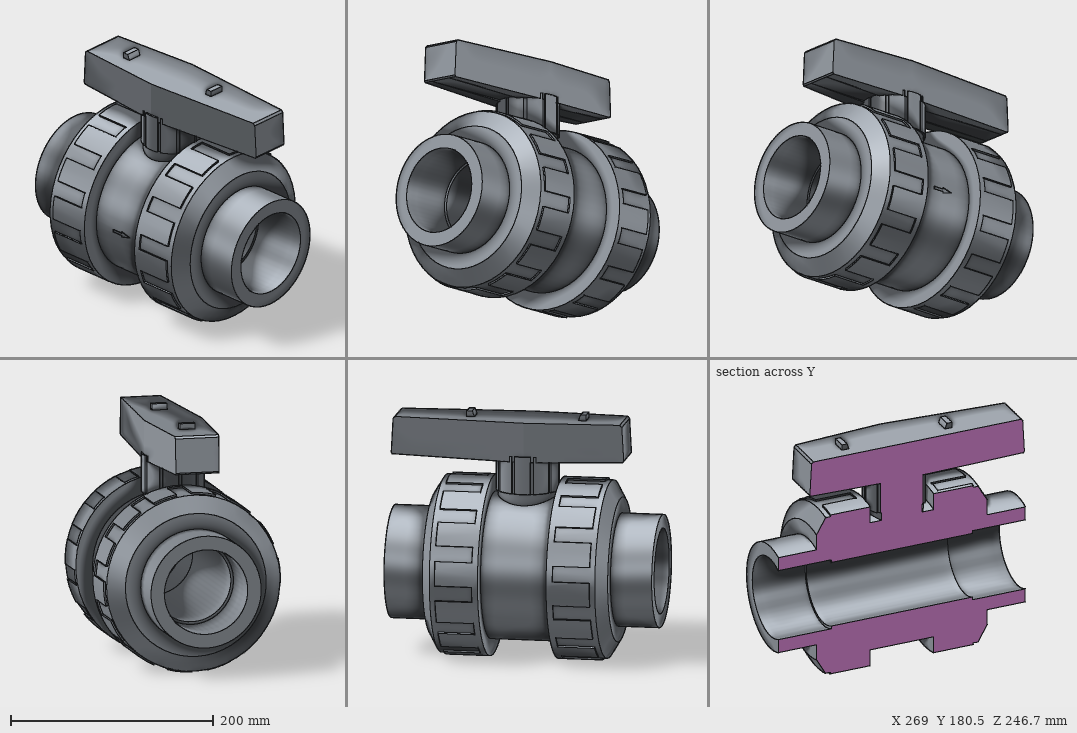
import cadquery as cq
import math


length = 269.0
overall_height = 246.7
pipe_radius = 56.2
socket_radius = 42.5
bore_radius = 39.8
socket_depth = 57.5

body_radius = 73.2
arrow_tail_x = -11.3
arrow_head_x = 0.3
arrow_tip_x = 11.3
arrow_shaft_half_height = 1.3
arrow_head_half_height = 3.0
arrow_depth = 0.5

nut_diameter = 180.5
nut_radius = nut_diameter / 2
nut_floor_radius = 88.5
nut_face_radius = 71.8
nut_inner_x = 34.5
tooth_inner_x = 40.5
tooth_outer_x = 77.7
shoulder_x = 83.0
nut_outer_x = 93.0
tooth_count = 14
tooth_angle = 15.7
tooth_pitch = 360 / tooth_count
first_tooth_angle = 5.1

neck_radius = 29.3
collar_diameter = 62.7
collar_radius = collar_diameter / 2
collar_bottom_z = 78.5
collar_top_z = 116.5
slot_count = 10
slot_width = 3.2

ridge_x = -1.3
ridge_half_width = 29.3
ridge_bottom_z = 110.5
handle_left_x = -100.3
handle_right_x = 133.7
left_half_width = 22.0
right_half_width = 20.0
end_bottom_z = 112.7
handle_top_z = 150.6
end_draft = 2.0
end_chamfer = 2.2
lower_chamfer_height = 1.5
lower_chamfer_inset = 1.0
channel_width = 22.5

stop_outer_x = 60.0
stop_top_inner_x = 54.3
stop_base_inner_x = 52.2
stop_width = 15.3
stop_height = overall_height - nut_radius - handle_top_z


def cylinder_x(radius, start, end):
    return cq.Workplane("YZ").workplane(offset=start).circle(radius).extrude(end - start)


def make_tooth_sector(angle):
    """Wedge about the X axis, centred `angle` degrees above -Y, spanning one tooth."""
    reach = 2 * nut_radius
    half_angle = tooth_angle / 2
    corners = [(0, 0)]
    for edge_angle in (angle - half_angle, angle + half_angle):
        edge = math.radians(edge_angle)
        corners.append((-reach * math.cos(edge), reach * math.sin(edge)))
    depth = tooth_outer_x - tooth_inner_x
    return cq.Workplane("YZ").workplane(offset=-tooth_outer_x).polyline(corners).close().extrude(depth)


def make_left_nut():
    profile = [
        (-nut_inner_x, 0),
        (-nut_inner_x, nut_radius),
        (-tooth_inner_x, nut_radius),
        (-tooth_inner_x, nut_floor_radius),
        (-shoulder_x, nut_floor_radius),
        (-nut_outer_x, nut_face_radius),
        (-nut_outer_x, 0),
    ]
    nut = cq.Workplane("XY").polyline(profile).close().revolve(360, (0, 0, 0), (1, 0, 0))
    tooth_ring = cylinder_x(nut_radius, -tooth_outer_x, -tooth_inner_x)
    for index in range(tooth_count):
        sector = make_tooth_sector(first_tooth_angle + index * tooth_pitch)
        nut = nut.union(tooth_ring.intersect(sector))
    return nut


def make_stem():
    neck = cq.Workplane("XY").circle(neck_radius).extrude(collar_top_z)
    collar_height = collar_top_z - collar_bottom_z
    collar = cq.Workplane("XY").workplane(offset=collar_bottom_z).circle(collar_radius).extrude(collar_height)
    slots = (
        cq.Workplane("XY")
        .workplane(offset=collar_bottom_z)
        .polarArray(collar_radius, 0, 360, slot_count)
        .rect(2 * (collar_radius - neck_radius), slot_width)
        .extrude(collar_height)
    )
    return neck.union(collar.cut(slots))


def make_handle():
    plan = [
        (handle_left_x, -left_half_width),
        (ridge_x, -ridge_half_width),
        (handle_right_x, -right_half_width),
        (handle_right_x, right_half_width),
        (ridge_x, ridge_half_width),
        (handle_left_x, left_half_width),
    ]
    side = [
        (handle_left_x, end_bottom_z + lower_chamfer_height),
        (handle_left_x + lower_chamfer_inset, end_bottom_z),
        (ridge_x, ridge_bottom_z),
        (handle_right_x - lower_chamfer_inset, end_bottom_z),
        (handle_right_x, end_bottom_z + lower_chamfer_height),
        (handle_right_x - end_draft, handle_top_z - end_chamfer),
        (handle_right_x - end_draft - end_chamfer, handle_top_z),
        (handle_left_x + end_draft + end_chamfer, handle_top_z),
        (handle_left_x + end_draft, handle_top_z - end_chamfer),
    ]
    plan_prism = cq.Workplane("XY").polyline(plan).close().extrude(handle_top_z)
    side_prism = cq.Workplane("XZ").polyline(side).close().extrude(ridge_half_width, both=True)
    handle_length = handle_right_x - handle_left_x
    channel = (
        cq.Workplane("XY")
        .center((handle_left_x + handle_right_x) / 2, 0)
        .rect(handle_length, channel_width)
        .extrude(end_bottom_z)
    )
    return plan_prism.intersect(side_prism).cut(channel)


def make_right_stop():
    outline = [
        (stop_outer_x, handle_top_z),
        (stop_outer_x, handle_top_z + stop_height),
        (stop_top_inner_x, handle_top_z + stop_height),
        (stop_base_inner_x, handle_top_z),
    ]
    return cq.Workplane("XZ").polyline(outline).close().extrude(stop_width / 2, both=True)


def make_flow_arrow():
    """Arrow-shaped cutter that marks the -Y side of the body."""
    outline = [
        (arrow_tail_x, -arrow_shaft_half_height),
        (arrow_head_x, -arrow_shaft_half_height),
        (arrow_head_x, -arrow_head_half_height),
        (arrow_tip_x, 0),
        (arrow_head_x, arrow_head_half_height),
        (arrow_head_x, arrow_shaft_half_height),
        (arrow_tail_x, arrow_shaft_half_height),
    ]
    floor = body_radius - arrow_depth
    return cq.Workplane("XZ").workplane(offset=floor).polyline(outline).close().extrude(2 * arrow_depth)


half_length = length / 2
pipe = cylinder_x(pipe_radius, -half_length, half_length)
body = cylinder_x(body_radius, -nut_inner_x, nut_inner_x).cut(make_flow_arrow())
left_nut = make_left_nut()
right_nut = left_nut.rotate((0, 0, 0), (0, 0, 1), 180)
right_stop = make_right_stop()

valve = pipe.union(body).union(left_nut).union(right_nut)
valve = valve.union(make_stem()).union(make_handle())
valve = valve.union(right_stop).union(right_stop.mirror("YZ"))

valve = valve.cut(cylinder_x(bore_radius, -half_length, half_length))
valve = valve.cut(cylinder_x(socket_radius, -half_length, socket_depth - half_length))
valve = valve.cut(cylinder_x(socket_radius, half_length - socket_depth, half_length))

result = valve